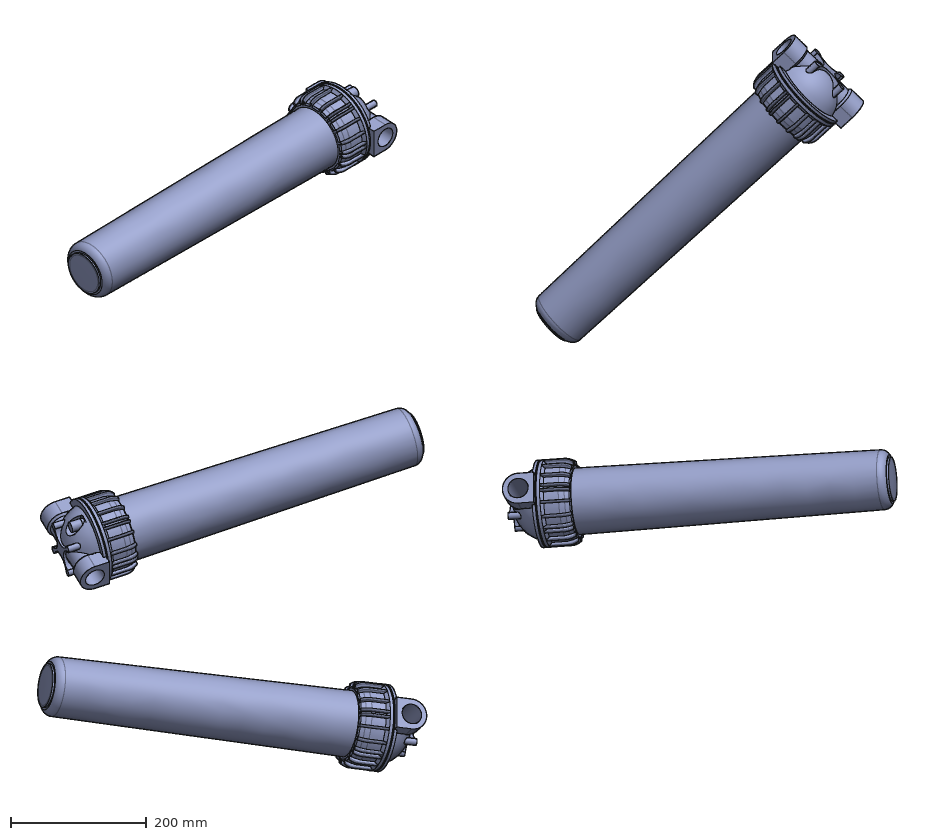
import cadquery as cq
import math


total_length = 574.0
port_span = 144.0
nut_dia = 130.0
nut_radius = nut_dia / 2

port_radius = 23.5
port_bore_dia = 30.5
port_block_length = 25.0
neck_radius = 20.0
neck_taper = 3.5
neck_span = port_span - 2 * (port_block_length + neck_taper)
dome_base_radius = 54.5
dome_top_y = 21.0
flange_top_y = -19.0
flange_bottom_y = -24.5
joint_chamfer = 1.0
head_top_y = port_radius

bolt_boss_offset = 25.0
bolt_boss_dia = 10.5
scallop_radius = 20.5
scallop_offset = 32.0

vent_z = 41.5
vent_pocket_dia = 24.0
vent_pocket_floor_y = -14.5
vent_button_dia = 16.0
vent_shank_dia = 15.5
vent_step_y = -10.0
vent_top_y = 7.5

collar_bottom_y = -31.0
panel_radius = 59.5
panel_top_y = -35.5
panel_bottom_y = -58.0
skirt_break_radius = 58.0
skirt_break_y = -66.5
skirt_lip_radius = 55.5
skirt_lip_y = -73.5
skirt_end_radius = 105.5 / 2
rib_round_y = -61.0
rib_end_radius = 59.5
nut_bottom_y = -75.0
rib_width = 4.0
rib_crest_fillet = 1.45
rib_groups = 18
rib_pitch = 360 / rib_groups
first_rib_angle = -1.5
double_rib_every = 3
double_rib_half_angle = 3.6

bowl_top_radius = 99.0 / 2
bowl_end_radius = 89.0 / 2
bowl_bottom_y = head_top_y - total_length
foot_height = 4.0
foot_radius = 65.5 / 2
foot_rim_radius = 59.5 / 2
foot_rim_height = 3.0
bowl_face_y = bowl_bottom_y + foot_height
bowl_corner_height = 12.5
bowl_corner_width = 8.5
bowl_corner_y = bowl_face_y + bowl_corner_height


def revolve_about_y(profile):
    """Revolve a closed half profile, drawn as (radius, y), about the Y axis."""
    return profile.close().revolve(360, (0, 0, 0), (0, 1, 0))


def cylinder_y(radius, bottom_y, top_y, x=0.0, z=0.0):
    """Cylinder parallel to Y between two heights."""
    plane = cq.Plane(origin=(x, bottom_y, z), xDir=(1, 0, 0), normal=(0, 1, 0))
    return cq.Workplane(plane).circle(radius).extrude(top_y - bottom_y)


def cylinder_x(radius, length):
    """Cylinder on the port axis, centred on the origin."""
    return cq.Workplane("YZ").circle(radius).extrude(length / 2, both=True)


def make_dome():
    """Spherical cap standing on the round flange."""
    rise = dome_top_y - flange_top_y
    sphere_radius = (dome_base_radius**2 + rise**2) / (2 * rise)
    centre_y = dome_top_y - sphere_radius
    mid_angle = (math.pi / 2 + math.asin((flange_top_y - centre_y) / sphere_radius)) / 2
    mid_point = (sphere_radius * math.cos(mid_angle), centre_y + sphere_radius * math.sin(mid_angle))
    profile = (
        cq.Workplane("XY")
        .moveTo(0, flange_bottom_y)
        .lineTo(nut_radius - joint_chamfer, flange_bottom_y)
        .lineTo(nut_radius, flange_bottom_y + joint_chamfer)
        .lineTo(nut_radius, flange_top_y)
        .lineTo(dome_base_radius, flange_top_y)
        .threePointArc(mid_point, (0, dome_top_y))
    )
    return revolve_about_y(profile)


def make_port(side):
    """D-shaped port block on one side (+1 or -1), tapering to the round neck."""
    inner_x = port_span / 2 - port_block_length
    round_part = cq.Workplane("YZ", origin=(side * inner_x, 0, 0)).circle(port_radius).extrude(
        side * port_block_length
    )
    square_part = (
        cq.Workplane("YZ", origin=(side * inner_x, -port_radius / 2, 0))
        .rect(port_radius, 2 * port_radius)
        .extrude(side * port_block_length)
    )
    taper = cq.Workplane(
        cq.Solid.makeCone(
            port_radius, neck_radius, neck_taper, cq.Vector(side * inner_x, 0, 0), cq.Vector(-side, 0, 0)
        )
    )
    return round_part.union(square_part).union(taper)


def make_mounting_pad():
    """Square pad with a bolt boss at each corner and a round scallop in each side."""
    boss_radius = bolt_boss_dia / 2
    pad = cq.Workplane("XY").box(2 * bolt_boss_offset, head_top_y, 2 * bolt_boss_offset)
    pad = pad.translate((0, head_top_y / 2, 0))
    for x, z in ((1, 0), (-1, 0), (0, 1), (0, -1)):
        pad = pad.cut(
            cylinder_y(scallop_radius, 0, head_top_y, x * scallop_offset, z * scallop_offset)
        )
    for x in (-bolt_boss_offset, bolt_boss_offset):
        for z in (-bolt_boss_offset, bolt_boss_offset):
            pad = pad.union(cylinder_y(boss_radius, 0, head_top_y, x, z))
    return pad


def make_head():
    head = make_dome().union(make_mounting_pad())
    head = head.union(cylinder_x(neck_radius, neck_span))
    for side in (-1, 1):
        head = head.union(make_port(side))
    head = head.cut(cylinder_x(port_bore_dia / 2, port_span))
    vent_pocket = cylinder_y(vent_pocket_dia / 2, vent_pocket_floor_y, head_top_y, z=vent_z)
    return head.cut(vent_pocket)


def make_vent_button():
    """Button standing in the vent pocket on a slightly thinner shank."""
    shank = cylinder_y(vent_shank_dia / 2, vent_pocket_floor_y, vent_step_y, z=vent_z)
    button = cylinder_y(vent_button_dia / 2, vent_step_y, vent_top_y, z=vent_z)
    return shank.union(button)


def make_nut_core():
    """Nut without ribs: top collar, recessed panel band and tapered skirt."""
    profile = (
        cq.Workplane("XY")
        .moveTo(bowl_top_radius, flange_bottom_y)
        .lineTo(nut_radius - joint_chamfer, flange_bottom_y)
        .lineTo(nut_radius, flange_bottom_y - joint_chamfer)
        .lineTo(nut_radius, collar_bottom_y)
        .lineTo(panel_radius, panel_top_y)
        .lineTo(panel_radius, panel_bottom_y)
        .lineTo(skirt_break_radius, skirt_break_y)
        .lineTo(skirt_lip_radius, skirt_lip_y)
        .lineTo(skirt_end_radius, nut_bottom_y)
        .lineTo(bowl_top_radius, nut_bottom_y)
    )
    return revolve_about_y(profile)


def make_rib():
    """Rib along +X: straight beside the panels, curving in at its lower end, with a rounded crest."""
    root_radius = (bowl_top_radius + skirt_end_radius) / 2
    rib = (
        cq.Workplane("XY")
        .moveTo(root_radius, collar_bottom_y)
        .lineTo(nut_radius, collar_bottom_y)
        .lineTo(nut_radius, rib_round_y)
        .tangentArcPoint((rib_end_radius, nut_bottom_y), relative=False)
        .lineTo(root_radius, nut_bottom_y)
        .close()
        .extrude(rib_width / 2, both=True)
    )
    return rib.faces(">X").edges("|Y").fillet(rib_crest_fillet)


def rib_angles():
    """Angles from +X toward +Z; every third rib is a close pair."""
    angles = []
    for index in range(rib_groups):
        angle = first_rib_angle + index * rib_pitch
        if index % double_rib_every == 0:
            angles += [angle - double_rib_half_angle, angle + double_rib_half_angle]
        else:
            angles.append(angle)
    return angles


def make_nut():
    """Nut core with round-crested ribs spread over the panel band and skirt."""
    rib = make_rib()
    nut = make_nut_core()
    for angle in rib_angles():
        nut = nut.union(rib.rotate((0, 0, 0), (0, 1, 0), -angle))
    return nut


def make_bowl():
    """Tapered bowl with a rounded end and a low, slightly domed foot."""
    face_radius = bowl_end_radius - bowl_corner_width
    foot_rim_y = bowl_face_y - foot_rim_height
    crown_height = foot_rim_y - bowl_bottom_y
    crown_radius = (foot_rim_radius**2 + crown_height**2) / (2 * crown_height)
    profile = (
        cq.Workplane("XY")
        .moveTo(0, flange_bottom_y)
        .lineTo(bowl_top_radius, flange_bottom_y)
        .lineTo(bowl_top_radius, nut_bottom_y)
        .lineTo(bowl_end_radius, bowl_corner_y)
        .tangentArcPoint((face_radius, bowl_face_y), relative=False)
        .lineTo(foot_radius, bowl_face_y)
        .lineTo(foot_radius, foot_rim_y)
        .lineTo(foot_rim_radius, foot_rim_y)
        .radiusArc((0, bowl_bottom_y), crown_radius)
    )
    return revolve_about_y(profile)


head = make_head()
vent_button = make_vent_button()
nut = make_nut()
bowl = make_bowl()

result = cq.Compound.makeCompound([head.val(), vent_button.val(), nut.val(), bowl.val()])